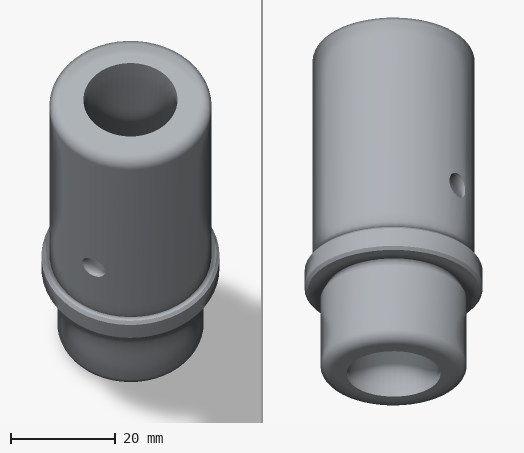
import cadquery as cq

length = 70.0
bore_diameter = 18.0

body_radius = 31.0 / 2
collar_radius = 34.0 / 2
spigot_radius = 28.0 / 2
collar_bottom = 18.0
collar_height = 5.05
collar_top = collar_bottom + collar_height

end_fillet = 2.0
collar_chamfer = 0.55

relief_height = 1.8
relief_depth = 0.9

hole_diameter = 5.0
hole_height = 36.0


def cylinder(radius, bottom, top):
    return cq.Workplane("XY").workplane(offset=bottom).circle(radius).extrude(top - bottom)


def make_spigot():
    """Lower end with a rounded rim, narrowing just below the collar."""
    relief_bottom = collar_bottom - relief_height
    spigot = cylinder(spigot_radius, 0, relief_bottom).faces("<Z").edges().fillet(end_fillet)
    relief = (
        cq.Workplane("XY")
        .workplane(offset=relief_bottom)
        .circle(spigot_radius)
        .workplane(offset=relief_height)
        .circle(spigot_radius - relief_depth)
        .loft()
    )
    return spigot.union(relief)


def make_radial_hole():
    """Cutter running from the bore axis out through the -Y wall."""
    return (
        cq.Workplane("XZ")
        .center(0, hole_height)
        .circle(hole_diameter / 2)
        .extrude(collar_radius)
    )


body = cylinder(body_radius, collar_top, length).faces(">Z").edges().fillet(end_fillet)
collar = cylinder(collar_radius, collar_bottom, collar_top).edges().chamfer(collar_chamfer)
bore = cylinder(bore_diameter / 2, 0, length)

result = make_spigot().union(collar).union(body).cut(bore).cut(make_radial_hole())